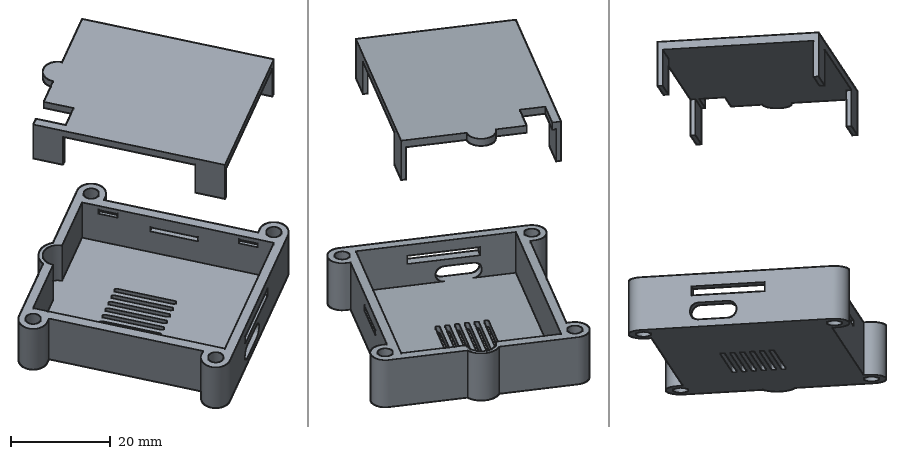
import cadquery as cq

wall = 2.0
box_x = 44.35
box_y = 36.95
box_height = 11.1
floor_thickness = 1.5
cavity_x = box_x - 2 * wall
cavity_y = box_y - 2 * wall
cavity_depth = box_height - floor_thickness
tab_radius = 3.0

lug_radius = 3.0
lug_overhang = 1.05
screw_diameter = 3.1
bulge_radius = 3.85

socket_length = 4.0
socket_height = 1.05
socket_depth = 0.75
socket_inset = 3.4
socket_top_drop = 1.1

card_slot_length = 10.0
card_slot_height = 1.1
card_slot_x = -0.85
card_slot_top_drop = 2.85

port_slot_length = 15.0
port_slot_height = 1.9
port_slot_y = -1.65
port_slot_top_drop = 2.55

plug_length = 9.5
plug_height = 3.55
plug_y = -4.7

vent_count = 6
vent_length = 13.0
vent_width = 1.0
vent_pitch = 2.0
vent_x = -2.85
vent_y = -1.45

lid_top = 61.0
lid_thickness = 1.7
lid_height = 9.3
leg_length = 6.3
leg_thickness = 1.05
notch_length = 6.3
notch_width = 5.25
notch_margin = 1.8


def block(x_range, y_range, z_range):
    """Box between two limits on each axis."""
    (x0, x1), (y0, y1), (z0, z1) = x_range, y_range, z_range
    return cq.Workplane("XY").box(x1 - x0, y1 - y0, z1 - z0, centered=False).translate((x0, y0, z0))


def disc(radius, x, y, bottom, height):
    """Upright cylinder."""
    return cq.Workplane("XY", origin=(x, y, bottom)).circle(radius).extrude(height)


def corner_signs():
    return [(sx, sy) for sx in (-1, 1) for sy in (-1, 1)]


def box_outside():
    """Solid outer shape: body, thumb bulge and four screw lugs."""
    body = cq.Workplane("XY").rect(box_x, box_y).extrude(box_height)
    body = body.union(disc(bulge_radius, -cavity_x / 2, 0, 0, box_height))
    lug_x = box_x / 2 - lug_radius
    lug_y = box_y / 2 + lug_overhang
    for sx, sy in corner_signs():
        neck = (
            cq.Workplane("XY")
            .center(sx * lug_x, sy * lug_y / 2)
            .rect(2 * lug_radius, lug_y)
            .extrude(box_height)
        )
        body = body.union(neck).union(disc(lug_radius, sx * lug_x, sy * lug_y, 0, box_height))
    for sx, sy in corner_signs():
        body = body.cut(disc(screw_diameter / 2, sx * lug_x, sy * lug_y, 0, box_height))
    return body


def box_cavity():
    """Main pocket with the round thumb recess on its left edge."""
    pocket = cq.Workplane("XY", origin=(0, 0, floor_thickness)).rect(cavity_x, cavity_y).extrude(cavity_depth)
    return pocket.union(disc(tab_radius, -cavity_x / 2, 0, floor_thickness, cavity_depth))


def back_wall_cuts():
    """Two shallow sockets and the card slot."""
    face_y = cavity_y / 2
    slot_top = box_height - card_slot_top_drop
    half_slot = card_slot_length / 2
    cuts = block(
        (card_slot_x - half_slot, card_slot_x + half_slot),
        (face_y, face_y + wall),
        (slot_top - card_slot_height, slot_top),
    )
    socket_top = box_height - socket_top_drop
    socket_x = cavity_x / 2 - socket_inset - socket_length / 2
    for centre in (-socket_x, socket_x):
        socket = block(
            (centre - socket_length / 2, centre + socket_length / 2),
            (face_y, face_y + socket_depth),
            (socket_top - socket_height, socket_top),
        )
        cuts = cuts.union(socket)
    return cuts


def right_wall_cuts():
    """Port slot and the round-ended plug opening below it."""
    face_x = cavity_x / 2
    slot_top = box_height - port_slot_top_drop
    half_slot = port_slot_length / 2
    port_slot = block(
        (face_x, face_x + wall),
        (port_slot_y - half_slot, port_slot_y + half_slot),
        (slot_top - port_slot_height, slot_top),
    )
    plug = (
        cq.Workplane("YZ", origin=(face_x, plug_y, floor_thickness + plug_height / 2))
        .slot2D(plug_length, plug_height)
        .extrude(wall)
    )
    return port_slot.union(plug)


def vents():
    """Row of round-ended slots through the floor."""
    return (
        cq.Workplane("XY", origin=(vent_x, vent_y, 0))
        .rarray(0.6, vent_pitch, 1, vent_count)
        .slot2D(vent_length, vent_width)
        .extrude(floor_thickness)
    )


def make_box():
    return box_outside().cut(box_cavity()).cut(back_wall_cuts()).cut(right_wall_cuts()).cut(vents())


def make_lid():
    """Plate with a thumb tab, a corner notch and four flat legs."""
    plate_bottom = lid_top - lid_thickness
    half_x = cavity_x / 2
    half_y = cavity_y / 2
    lid = cq.Workplane("XY", origin=(0, 0, plate_bottom)).rect(cavity_x, cavity_y).extrude(lid_thickness)
    lid = lid.union(disc(tab_radius, -half_x, 0, plate_bottom, lid_thickness))
    for sx, sy in corner_signs():
        leg = (
            cq.Workplane("XY", origin=(0, 0, lid_top - lid_height))
            .center(sx * (half_x - leg_length / 2), sy * (half_y - leg_thickness / 2))
            .rect(leg_length, leg_thickness)
            .extrude(lid_height)
        )
        lid = lid.union(leg)
    notch_start = notch_margin - half_y
    notch = block(
        (-half_x, notch_length - half_x),
        (notch_start, notch_start + notch_width),
        (plate_bottom, lid_top),
    )
    return lid.cut(notch)


box = make_box()
lid = make_lid()
result = cq.Compound.makeCompound([box.val(), lid.val()])